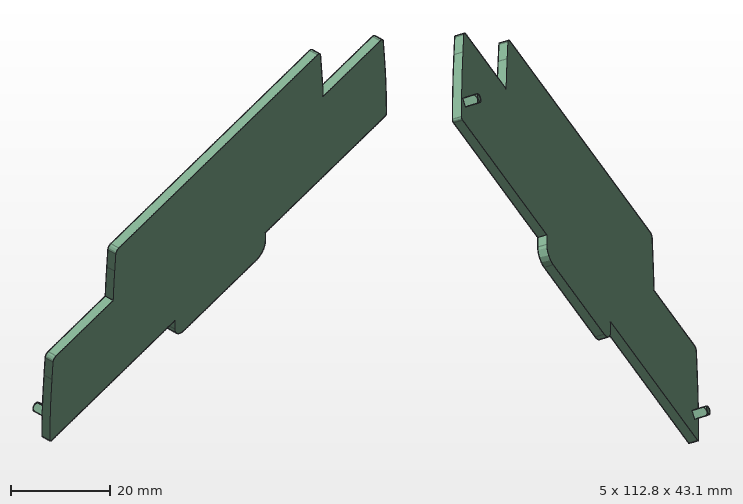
import cadquery as cq
import math

plate_length = 112.8
plate_thickness = 2.0
wing_height = 23.7
block_height = 13.9
block_top_width = 68.5
top_corner_radius = 1.0
bottom_corner_radius = 0.6

side_lean = math.radians(4.5)
wing_arc_end = 17.9
block_arc_end = 31.9

tab_width = 30.3
tab_depth = 5.5
tab_offset = 0.7
tab_corner_radius = 3.0

peg_length = 3.0
peg_diagonal = 2.6
peg_spacing = 109.0
peg_height = 5.8
peg_tip_chamfer = 0.5

half_length = plate_length / 2
side_arc_radius = wing_arc_end / math.sin(side_lean)
block_top = wing_height + block_height
block_top_half = block_top_width / 2
tab_left = tab_offset - tab_width / 2
tab_right = tab_offset + tab_width / 2


def arc_point(centre, angle):
    """Point on a side arc at the given angle above horizontal."""
    y, z = centre
    return (y + side_arc_radius * math.cos(angle), z + side_arc_radius * math.sin(angle))


def mirrored(point):
    return (-point[0], point[1])


wing_arc_centre = (half_length - side_arc_radius, 0)
wing_arc_top = arc_point(wing_arc_centre, side_lean)
wing_arc_middle = arc_point(wing_arc_centre, side_lean / 2)
wing_top_half = wing_arc_top[0] - (wing_height - wing_arc_top[1]) * math.tan(side_lean)

block_arc_top = (block_top_half + (block_top - block_arc_end) * math.tan(side_lean), block_arc_end)
block_arc_centre = (
    block_arc_top[0] - side_arc_radius * math.cos(side_lean),
    block_arc_top[1] - side_arc_radius * math.sin(side_lean),
)
block_base_angle = math.asin((wing_height - block_arc_centre[1]) / side_arc_radius)
block_arc_base = arc_point(block_arc_centre, block_base_angle)
block_arc_middle = arc_point(block_arc_centre, (block_base_angle + side_lean) / 2)


def round_corners(body, left, right, height, radius):
    """Round the two plate corners that share a height."""
    for y in (left, right):
        corner = cq.selectors.NearestToPointSelector((plate_thickness / 2, y, height))
        body = body.edges("|X").edges(corner).fillet(radius)
    return body


def make_plate():
    plate = (
        cq.Workplane("YZ")
        .moveTo(tab_left, -tab_depth)
        .lineTo(tab_right, -tab_depth)
        .lineTo(tab_right, 0)
        .lineTo(half_length, 0)
        .threePointArc(wing_arc_middle, wing_arc_top)
        .lineTo(wing_top_half, wing_height)
        .lineTo(*block_arc_base)
        .threePointArc(block_arc_middle, block_arc_top)
        .lineTo(block_top_half, block_top)
        .lineTo(-block_top_half, block_top)
        .lineTo(*mirrored(block_arc_top))
        .threePointArc(mirrored(block_arc_middle), mirrored(block_arc_base))
        .lineTo(-wing_top_half, wing_height)
        .lineTo(*mirrored(wing_arc_top))
        .threePointArc(mirrored(wing_arc_middle), (-half_length, 0))
        .lineTo(tab_left, 0)
        .close()
        .extrude(plate_thickness)
    )
    plate = round_corners(plate, -block_top_half, block_top_half, block_top, top_corner_radius)
    plate = round_corners(plate, -wing_top_half, wing_top_half, wing_height, top_corner_radius)
    plate = round_corners(plate, -half_length, half_length, 0, bottom_corner_radius)
    return round_corners(plate, tab_left, tab_right, -tab_depth, tab_corner_radius)


def make_peg(y):
    """Square peg standing on its corner, its tip corners trimmed by a cone."""
    square = cq.Workplane("YZ").polygon(4, peg_diagonal).extrude(-peg_length)
    coned_round = (
        cq.Workplane("YZ")
        .circle(peg_diagonal / 2)
        .extrude(-peg_length)
        .faces("<X")
        .chamfer(peg_tip_chamfer)
    )
    return square.intersect(coned_round).translate((0, y, peg_height))


result = make_plate()
for peg_y in (-peg_spacing / 2, peg_spacing / 2):
    result = result.union(make_peg(peg_y))